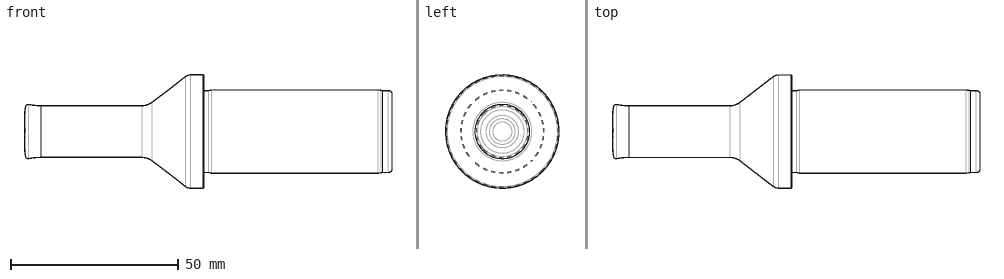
import cadquery as cq
import math

total_length = 110.0

neck_radius = 15.5 / 2
collar_radius = 34.0 / 2
shank_radius = 25.0 / 2
relief_radius = 24.5 / 2

rim_radius = 8.1
face_outer_radius = 7.5
face_bend_radius = 6.5
face_crest_radius = 4.8
groove_radius = 3.8
inner_crest_radius = 2.9
face_slope = 0.12
face_edge_slope = 0.17
rim_x = 1.3
tip_length = 5.0

cone_start_x = 36.8
cone_end_x = 48.8
collar_back_x = 53.8
neck_blend_radius = 5.0
collar_blend_radius = 2.5
collar_chamfer = 0.3

front_relief_end_x = 55.0
shank_taper_length = 1.0
shank_end_x = 106.7
shank_end_step = 0.3
end_round_length = 1.3
end_round_depth = 0.9


def turn(profile):
    """Close a profile on the axis and turn it into a solid about X."""
    return profile.close().revolve(360, (0, 0, 0), (1, 0, 0))


def quarter_point(center, radii, angle):
    """Point of an ellipse at the given angle, used as the middle of a rounded corner."""
    return (center[0] + radii[0] * math.cos(angle), center[1] + radii[1] * math.sin(angle))


def make_tip():
    """Tip with a ringed, shallow conical face and a flared rim blending into the neck."""
    face_bend_x = face_slope * (face_bend_radius - face_crest_radius)
    face_outer_x = face_bend_x + face_edge_slope * (face_outer_radius - face_bend_radius)
    groove_x = face_slope * (face_crest_radius - groove_radius)
    center_x = face_slope * inner_crest_radius
    corner_middle = quarter_point(
        (rim_x, face_outer_radius),
        (face_outer_x - rim_x, rim_radius - face_outer_radius),
        math.pi / 4,
    )
    profile = (
        cq.Workplane("XY")
        .moveTo(center_x, 0)
        .lineTo(0, inner_crest_radius)
        .lineTo(groove_x, groove_radius)
        .lineTo(0, face_crest_radius)
        .lineTo(face_bend_x, face_bend_radius)
        .lineTo(face_outer_x, face_outer_radius)
        .threePointArc(corner_middle, (rim_x, rim_radius))
    )
    flare_length = tip_length - rim_x
    flare_drop = rim_radius - neck_radius
    flare_radius = (flare_length**2 + flare_drop**2) / (2 * flare_drop)
    half_angle = math.asin(flare_length / flare_radius) / 2
    flare_middle = (
        tip_length - flare_radius * math.sin(half_angle),
        neck_radius + flare_radius * (1 - math.cos(half_angle)),
    )
    profile = profile.threePointArc(flare_middle, (tip_length, neck_radius)).lineTo(tip_length, 0)
    return turn(profile)


def make_holder():
    """Neck, blended cone, collar and shank in one piece."""
    cone_angle = math.atan2(collar_radius - neck_radius, cone_end_x - cone_start_x)
    neck_tangent = neck_blend_radius * math.tan(cone_angle / 2)
    collar_tangent = collar_blend_radius * math.tan(cone_angle / 2)
    along_cone = (math.cos(cone_angle), math.sin(cone_angle))

    neck_blend_start = (cone_start_x - neck_tangent, neck_radius)
    neck_blend_middle = (
        neck_blend_start[0] + neck_blend_radius * math.sin(cone_angle / 2),
        neck_radius + neck_blend_radius * (1 - math.cos(cone_angle / 2)),
    )
    neck_blend_end = (
        cone_start_x + neck_tangent * along_cone[0],
        neck_radius + neck_tangent * along_cone[1],
    )
    collar_blend_start = (
        cone_end_x - collar_tangent * along_cone[0],
        collar_radius - collar_tangent * along_cone[1],
    )
    collar_blend_end = (cone_end_x + collar_tangent, collar_radius)
    collar_blend_middle = (
        collar_blend_end[0] - collar_blend_radius * math.sin(cone_angle / 2),
        collar_radius - collar_blend_radius * (1 - math.cos(cone_angle / 2)),
    )
    end_round_start_x = total_length - end_round_length
    end_round_middle = quarter_point(
        (end_round_start_x, relief_radius - end_round_depth),
        (end_round_length, end_round_depth),
        math.pi / 4,
    )
    taper_end_radius = (shank_radius + relief_radius) / 2
    profile = (
        cq.Workplane("XY")
        .moveTo(tip_length, 0)
        .lineTo(tip_length, neck_radius)
        .lineTo(*neck_blend_start)
        .threePointArc(neck_blend_middle, neck_blend_end)
        .lineTo(*collar_blend_start)
        .threePointArc(collar_blend_middle, collar_blend_end)
        .lineTo(collar_back_x - collar_chamfer, collar_radius)
        .lineTo(collar_back_x, collar_radius - collar_chamfer)
        .lineTo(collar_back_x, relief_radius)
        .lineTo(front_relief_end_x, relief_radius)
        .lineTo(front_relief_end_x + shank_taper_length, shank_radius)
        .lineTo(shank_end_x - shank_taper_length, shank_radius)
        .lineTo(shank_end_x, taper_end_radius)
        .lineTo(shank_end_x + shank_end_step, relief_radius)
        .lineTo(end_round_start_x, relief_radius)
        .threePointArc(end_round_middle, (total_length, relief_radius - end_round_depth))
        .lineTo(total_length, 0)
    )
    return turn(profile)


tip = make_tip()
holder = make_holder()
result = cq.Compound.makeCompound([tip.val(), holder.val()])